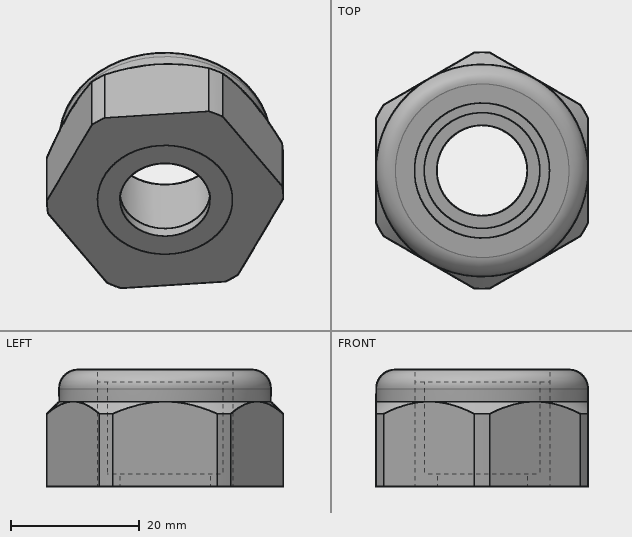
import cadquery as cq
import math

total_height = 18.2
across_flats = 33.0
across_corners = 36.8
collar_diameter = across_flats
collar_base = 13.2
top_face_diameter = 27.0
collar_rounding = (collar_diameter - top_face_diameter) / 2

bushing_diameter = 21.0
bushing_bore = 18.0
bushing_recess = 1.95
floor_hole = 14.0
floor_thickness = 2.0

bushing_height = total_height - bushing_recess


def make_hexagon():
    """Hexagonal prism with corners on Y, turned round and chamfered at 45 degrees."""
    sharp_corners = across_flats / math.cos(math.radians(30))
    prism = (
        cq.Workplane("XY")
        .polygon(6, sharp_corners)
        .extrude(collar_base)
        .rotate((0, 0, 0), (0, 0, 1), 90)
    )
    chamfer = (across_corners - collar_diameter) / 2
    turned_envelope = (
        cq.Workplane("XY")
        .circle(across_corners / 2)
        .extrude(collar_base)
        .faces(">Z")
        .chamfer(chamfer)
    )
    return prism.intersect(turned_envelope)


def make_collar():
    """Round collar above the hexagon, with a rounded top edge."""
    return (
        cq.Workplane("XY")
        .workplane(offset=collar_base)
        .circle(collar_diameter / 2)
        .extrude(total_height - collar_base)
        .faces(">Z")
        .edges()
        .fillet(collar_rounding)
    )


def make_nut():
    """Hexagon and collar with a plain through bore that fits the bushing."""
    bore = cq.Workplane("XY").circle(bushing_diameter / 2).extrude(total_height)
    return make_hexagon().union(make_collar()).cut(bore)


def make_bushing():
    """Sleeve open at the top, with a pierced floor at the bottom."""
    sleeve = cq.Workplane("XY").circle(bushing_diameter / 2).extrude(bushing_height)
    bore = (
        cq.Workplane("XY")
        .workplane(offset=floor_thickness)
        .circle(bushing_bore / 2)
        .extrude(bushing_height - floor_thickness)
    )
    hole = cq.Workplane("XY").circle(floor_hole / 2).extrude(floor_thickness)
    return sleeve.cut(bore).cut(hole)


nut = make_nut().solids()
bushing = make_bushing().solids()

result = cq.Compound.makeCompound([nut.val(), bushing.val()])